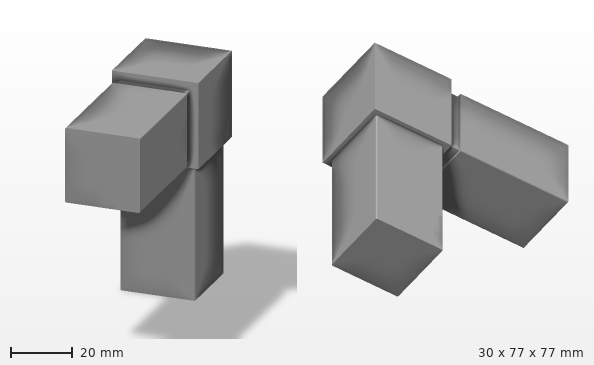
import cadquery as cq

overall_length = 77.0
cube_side = 30.0
arm_width = 26.0
arm_corner_radius = 0.5
neck_width = 24.0
neck_length = 5.0

half_cube = cube_side / 2
arm_length = overall_length - cube_side


def rounded_arm(face, offset, length):
    """Square bar with rounded long edges, starting at an offset from a cube face."""
    return (
        cq.Workplane(face)
        .workplane(offset=half_cube + offset)
        .rect(arm_width, arm_width)
        .extrude(length)
        .edges("|" + face_axis[face])
        .fillet(arm_corner_radius)
    )


front_face = "XZ"
bottom_face = "YX"
face_axis = {front_face: "Y", bottom_face: "Z"}

cube = cq.Workplane("XY").box(cube_side, cube_side, cube_side)

neck = (
    cq.Workplane(front_face)
    .workplane(offset=half_cube)
    .rect(neck_width, neck_width)
    .extrude(neck_length)
)

front_arm = rounded_arm(front_face, neck_length, arm_length - neck_length)
bottom_arm = rounded_arm(bottom_face, 0, arm_length)

result = cube.union(neck).union(front_arm).union(bottom_arm)